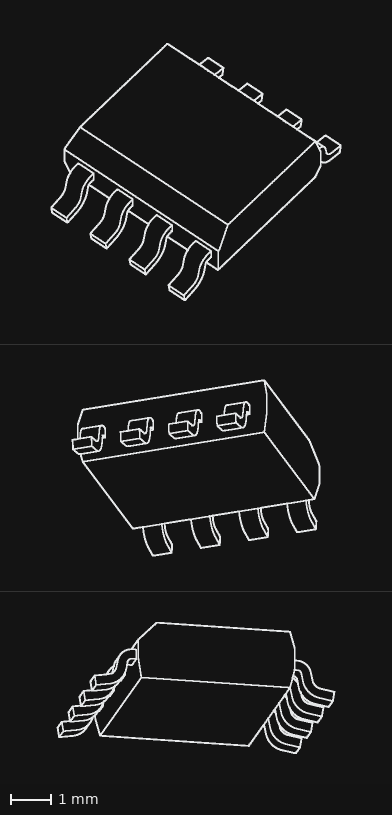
import cadquery as cq
import math

body_length = 5.0
body_width = 4.0
body_height = 1.47
overall_height = 1.7
taper_height = 0.467
taper_inset = 0.1
bevel_depth = 0.49
bevel_drop = 0.51
body_bottom = overall_height - body_height
body_top = overall_height

leads_per_side = 4
lead_pitch = 1.27
lead_row_offset = 0.108
lead_width = 0.5
lead_thickness = 0.25
lead_span = 6.13
lead_top = 1.0
shoulder_bend_radius = 0.225
foot_bend_radius = 0.375
leg_angle = math.radians(78)
foot_angle = math.radians(9.5)
foot_length = 0.36


def tapered_block(base_z, height, taper):
    """Block with the body's full footprint at base_z, leaning in by the taper angle."""
    return (
        cq.Workplane("XY", origin=(0, 0, base_z))
        .rect(body_length, body_width)
        .extrude(height, taper=taper)
    )


def make_body():
    """Straight band with tapered zones above and below, beveled along the pin-1 side."""
    taper_angle = math.degrees(math.atan2(taper_inset, taper_height))
    band_bottom = body_bottom + taper_height
    band_top = body_top - taper_height
    band = tapered_block(band_bottom, band_top - band_bottom, 0)
    upper = tapered_block(band_top, taper_height, taper_angle)
    lower = tapered_block(band_bottom, -taper_height, taper_angle)

    front_face = -body_width / 2
    bevel = (
        cq.Workplane("YZ")
        .moveTo(front_face, body_top - bevel_drop)
        .lineTo(front_face + bevel_depth, body_top)
        .lineTo(front_face, body_top)
        .close()
        .extrude(body_length / 2, both=True)
    )
    return band.union(upper).union(lower).cut(bevel)


def step(point, length, angle):
    """Point reached by going the given length outward (+Y) at an angle below the horizontal."""
    return (point[0] + length * math.cos(angle), point[1] - length * math.sin(angle))


def offset_sideways(point, distance, angle):
    """Point shifted square to a line that runs outward at an angle below the horizontal."""
    return (point[0] + distance * math.sin(angle), point[1] + distance * math.cos(angle))


def make_lead():
    """Gull-wing lead on the +Y side, centred on X = 0, butting against the body."""
    root = (body_width / 2, lead_top - lead_thickness / 2)
    tip = (
        lead_span / 2 - lead_thickness / 2 * math.sin(foot_angle),
        lead_thickness / 2 * math.cos(foot_angle),
    )
    foot_start = step(tip, -foot_length, foot_angle)

    shoulder_drop = shoulder_bend_radius * (1 - math.cos(leg_angle))
    foot_bend_drop = foot_bend_radius * (math.cos(foot_angle) - math.cos(leg_angle))
    leg_drop = root[1] - foot_start[1] - shoulder_drop - foot_bend_drop
    leg_length = leg_drop / math.sin(leg_angle)

    foot_bend_reach = foot_bend_radius * (math.sin(leg_angle) - math.sin(foot_angle))
    leg_end = (foot_start[0] - foot_bend_reach, foot_start[1] + foot_bend_drop)
    leg_start = step(leg_end, -leg_length, leg_angle)
    shoulder_end = (leg_start[0] - shoulder_bend_radius * math.sin(leg_angle), root[1])

    stations = [
        (root, 0),
        (shoulder_end, 0),
        (leg_start, leg_angle),
        (leg_end, leg_angle),
        (foot_start, foot_angle),
        (tip, foot_angle),
    ]
    half = lead_thickness / 2
    top = [offset_sideways(point, half, angle) for point, angle in stations]
    underside = [offset_sideways(point, -half, angle) for point, angle in stations]
    directions = [step((0, 0), 1, angle) for _, angle in stations]

    reversed_directions = [(-along, -up) for along, up in reversed(directions)]
    return (
        cq.Workplane("YZ", origin=(-lead_width / 2, 0, 0))
        .moveTo(*top[0])
        .spline(top, tangents=directions)
        .lineTo(*underside[-1])
        .spline(list(reversed(underside)), tangents=reversed_directions)
        .close()
        .extrude(lead_width)
    )


body = make_body()

rear_lead = make_lead()
front_lead = rear_lead.mirror("XZ")
leads = []
for index in range(leads_per_side):
    lead_x = lead_row_offset + (index - (leads_per_side - 1) / 2) * lead_pitch
    for lead in (rear_lead, front_lead):
        leads.append(lead.translate((lead_x, 0, 0)).val())

result = cq.Compound.makeCompound([body.val(), *leads])